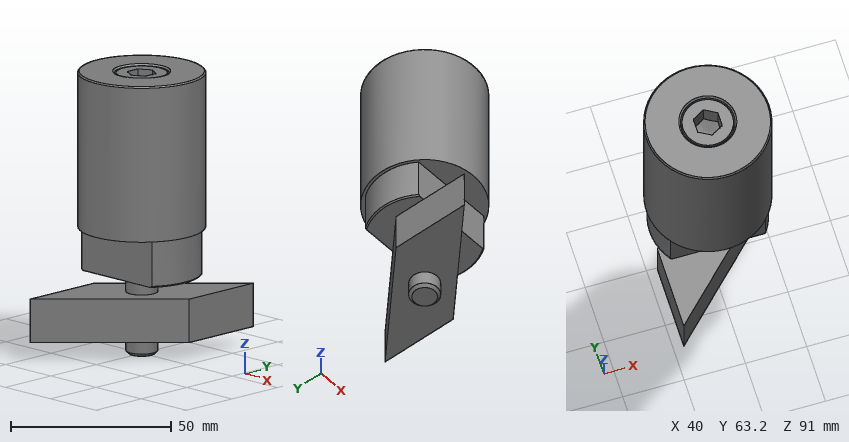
import cadquery as cq
import math

total_height = 91.0
barrel_height = 50.05
boss_height = 15.0
bar_bottom = 6.0
bar_thickness = 14.0

barrel_diameter = 40.0
boss_diameter = 38.0
boss_flat_width = 22.0
housing_chamfer = 0.5
counterbore_diameter = 17.0
rim_chamfer = 0.55


shank_diameter = 10.0
shank_chamfer = 1.0
head_diameter = 16.0
head_height = 10.0
head_recess = 0.55
socket_width = 8.0
socket_depth = 6.0
socket_tip_angle = 120.0

bar_width = 35.0
bar_length = 63.2

barrel_bottom = total_height - barrel_height
boss_bottom = barrel_bottom - boss_height
head_top = total_height - head_recess
head_bottom = head_top - head_height


def cylinder(diameter, bottom, top):
    return cq.Workplane("XY").workplane(offset=bottom).circle(diameter / 2).extrude(top - bottom)


def make_housing():
    """Round barrel over a two-flat boss, bored and counterbored for the screw."""
    barrel = cylinder(barrel_diameter, barrel_bottom, total_height).faces(">Z").chamfer(housing_chamfer)
    boss = cylinder(boss_diameter, boss_bottom, barrel_bottom).faces("<Z").chamfer(housing_chamfer)
    flats = (
        cq.Workplane("XY")
        .workplane(offset=boss_bottom)
        .rect(boss_diameter, boss_flat_width)
        .extrude(boss_height)
    )
    bore = cylinder(shank_diameter, boss_bottom, total_height)
    counterbore = cylinder(counterbore_diameter, head_bottom, total_height)
    counterbore_radius = counterbore_diameter / 2
    rim = cq.Workplane(
        cq.Solid.makeCone(
            counterbore_radius,
            counterbore_radius + rim_chamfer,
            rim_chamfer,
            pnt=cq.Vector(0, 0, total_height - rim_chamfer),
        )
    )
    return barrel.union(boss.intersect(flats)).cut(bore).cut(counterbore).cut(rim)


def make_socket():
    """Hexagonal socket with corners toward +Y and -Y and a conical floor."""
    corner_radius = socket_width / 2 / math.cos(math.pi / 6)
    tip_depth = corner_radius / math.tan(math.radians(socket_tip_angle / 2))
    tip_start = head_top - socket_depth
    hexagon = (
        cq.Workplane("XY")
        .workplane(offset=tip_start - tip_depth)
        .transformed(rotate=(0, 0, 90))
        .polygon(6, 2 * corner_radius)
        .extrude(socket_depth + tip_depth)
    )
    tip = cq.Workplane(
        cq.Solid.makeCone(0, corner_radius, tip_depth, pnt=cq.Vector(0, 0, tip_start - tip_depth))
    )
    drilled = cylinder(2 * corner_radius, tip_start, head_top).union(tip)
    return hexagon.intersect(drilled)


def make_bar():
    """Parallelogram bar, symmetric under a half turn about the screw axis."""
    half_width = bar_width / 2
    half_length = bar_length / 2
    side_end = half_length - bar_width
    corners = [
        (-half_width, -half_length),
        (half_width, -side_end),
        (half_width, half_length),
        (-half_width, side_end),
    ]
    return cq.Workplane("XY").workplane(offset=bar_bottom).polyline(corners).close().extrude(bar_thickness)


def make_clamp():
    """Socket-head screw carrying the clamping bar."""
    shank = cylinder(shank_diameter, 0, head_bottom).faces("<Z").chamfer(shank_chamfer)
    head = cylinder(head_diameter, head_bottom, head_top)
    return shank.union(head).union(make_bar()).cut(make_socket())


housing = make_housing()
clamp = make_clamp()

result = cq.Compound.makeCompound([housing.val(), clamp.val()])